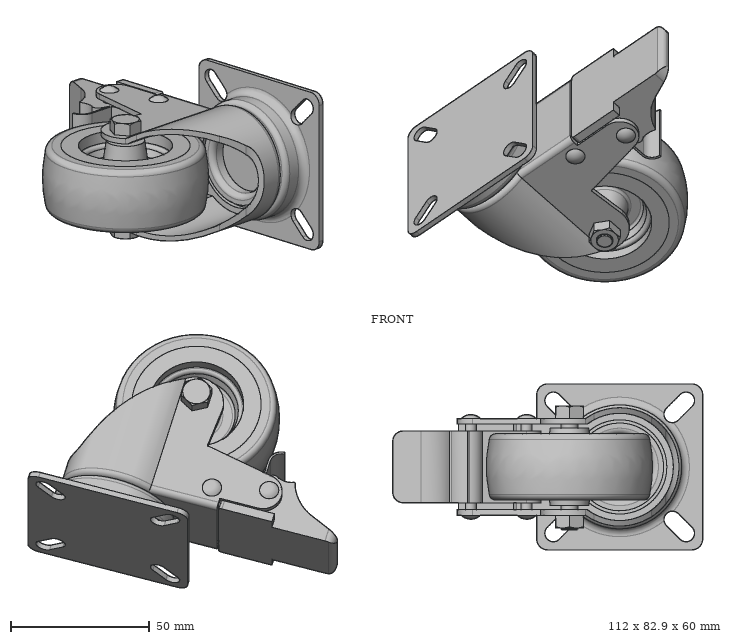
import cadquery as cq
import math


SHEET = 2.0

PLATE_SIZE = 60.0
PLATE_CORNER_R = 4.0
SLOT_WIDTH = 6.0
SLOT_INNER = 19.0
SLOT_OUTER = 24.0
RACE_R = 22.4
RACE_BOTTOM = -11.4
RACE_FLARE = 2.8
RACE_ROUND = 2.0
NECK_R = 18.4
HUB_R = 31.7 / 2
HUB_BORE_R = 11.9
HUB_BORE_DEPTH = 5.6
HUB_BORE_ROUND = 2.1

FORK_TOP = -12.0
FORK_ROUND = 2.2
FORK_R = 21.4
FORK_HALF_WIDTH = 17.5
FORK_INNER_R = FORK_R - SHEET
FORK_INNER_HALF = FORK_HALF_WIDTH - SHEET
FORK_FRONT = -37.5
FORK_HOLE_R = 34.0 / 2
ARM_TOP = -15.9
ARM_NOSE_R = 7.0
ARM_NOSE_X = -51.7
ARM_SLOPE = math.radians(12)
ARM_CORNER_X = -27.3
ARM_END_R = 10.2
ARM_END_X = -18.4
ARM_END_Y = -50.7

AXLE_X = -18.1
AXLE_Y = -52.9
WHEEL_R = 30.0
WHEEL_HALF_WIDTH = 12.0
TREAD_EDGE_R = 29.0
TREAD_EDGE_Z = 10.0
TREAD_FACE_R = 26.7
CORE_R = 46.7 / 2
RECESS_R = 34.0 / 2
RECESS_WALL = 4.3
LEDGE_R = 15.1
LEDGE_ROUND = 1.5
TAPER_R = 14.0
FLOOR_Z = 2.5
FLOOR_ROUND = 1.0
HUB_TIP_R = 7.0
HUB_BASE_R = 8.5
HUB_TIP_Z = 14.0

AXLE_R = 6.0 / 2
HEX_FLATS = 10.0
HEX_HEIGHT = 4.6
HEX_CHAMFER_ANGLE = math.radians(30)
BOLT_STUB = 0.7
BOLT_CHAMFER = 0.3

PEDAL_HALF_WIDTH = 13.0
PEDAL_END = -82.0
PEDAL_TOP_END = -38.2
PEDAL_TIP_BOTTOM = -15.2
PEDAL_TIP_ROUND = 2.5
PEDAL_CORNER_R = 3.8
PEDAL_NOSE_R = 5.2
TAB_START = -58.2
TAB_BOTTOM = -15.3
TAB_CORNER_R = 1.2
RIVETS = [(-53.8, -24.0), (-33.6, -19.3)]
RIVET_R = 4.0 / 2
RIVET_HEAD_R = 3.5
RIVET_HEAD_HEIGHT = 1.5
SPRING_THICKNESS = 0.8
SPRING_X = -49.5
SPRING_ROOT = -27.4
SPRING_BEND_Y = -37.5
SPRING_BEND_R = 4.9


def slab(z_low, z_high):
    """Workplane in XY for shapes extruded along Z from z_low, with the length to extrude."""
    return cq.Workplane("XY").workplane(offset=z_low), z_high - z_low


def round_bar(x, y, radius, half_length):
    plane, length = slab(-half_length, half_length)
    return plane.center(x, y).circle(radius).extrude(length)


def below(y):
    """XZ workplane at height y; positive extrusions run toward +Y's opposite, downward."""
    return cq.Workplane("XZ", origin=(0, y, 0))


def make_plate():
    plate = below(0).rect(PLATE_SIZE, PLATE_SIZE).extrude(SHEET)
    plate = plate.edges("|Y").fillet(PLATE_CORNER_R)

    hub_bottom = FORK_TOP - SHEET
    race_profile = (
        cq.Workplane("XY")
        .moveTo(0, -SHEET / 2)
        .lineTo(RACE_R + RACE_FLARE, -SHEET / 2)
        .lineTo(RACE_R + RACE_FLARE, -SHEET)
        .radiusArc((RACE_R, -SHEET - RACE_FLARE), -RACE_FLARE)
        .lineTo(RACE_R, RACE_BOTTOM + RACE_ROUND)
        .radiusArc((RACE_R - RACE_ROUND, RACE_BOTTOM), RACE_ROUND)
        .lineTo(NECK_R, RACE_BOTTOM)
        .lineTo(NECK_R, FORK_TOP)
        .lineTo(HUB_R, FORK_TOP)
        .lineTo(HUB_R, hub_bottom)
        .lineTo(HUB_BORE_R + HUB_BORE_ROUND, hub_bottom)
        .radiusArc((HUB_BORE_R, hub_bottom + HUB_BORE_ROUND), HUB_BORE_ROUND)
        .lineTo(HUB_BORE_R, hub_bottom + HUB_BORE_DEPTH)
        .lineTo(0, hub_bottom + HUB_BORE_DEPTH)
        .close()
    )
    plate = plate.union(race_profile.revolve(360, (0, 0), (0, 1)))

    slot_middle = (SLOT_INNER + SLOT_OUTER) / 2
    slot_length = (SLOT_OUTER - SLOT_INNER) * math.sqrt(2) + SLOT_WIDTH
    for side_x in (1, -1):
        for side_z in (1, -1):
            slot = (
                below(0)
                .center(side_x * slot_middle, side_z * slot_middle)
                .slot2D(slot_length, SLOT_WIDTH, 45 * side_x * side_z)
                .extrude(-RACE_BOTTOM)
            )
            plate = plate.cut(slot)
    return plate


def fork_plan(radius, half_width, top):
    """Half-round back and two straight sides, filled, from height `top` down past the axle."""
    join_x = -math.sqrt(radius**2 - half_width**2)
    front_x = 2 * ARM_NOSE_X
    return (
        below(top)
        .moveTo(front_x, -half_width)
        .lineTo(join_x, -half_width)
        .threePointArc((radius, 0), (join_x, half_width))
        .lineTo(front_x, half_width)
        .close()
        .extrude(WHEEL_R * 2)
    )


def fork_side():
    """Side outline of the arms and the back, extruded across the whole fork."""
    nose_y = ARM_TOP - ARM_NOSE_R
    nose_low = (
        ARM_NOSE_X - ARM_NOSE_R * math.sin(ARM_SLOPE),
        nose_y - ARM_NOSE_R * math.cos(ARM_SLOPE),
    )
    corner_y = nose_low[1] - (ARM_CORNER_X - nose_low[0]) * math.tan(ARM_SLOPE)
    plane, width = slab(-FORK_R, FORK_R)
    return (
        plane.moveTo(FORK_FRONT, FORK_TOP)
        .lineTo(FORK_FRONT, ARM_TOP)
        .lineTo(ARM_NOSE_X, ARM_TOP)
        .threePointArc((ARM_NOSE_X - ARM_NOSE_R, nose_y), nose_low)
        .lineTo(ARM_CORNER_X, corner_y)
        .lineTo(ARM_END_X - ARM_END_R, ARM_END_Y)
        .threePointArc((ARM_END_X, ARM_END_Y - ARM_END_R), (-12.3, -59.0))
        .lineTo(-9.3, -56.5)
        .threePointArc((2.0, -46.4), (11.5, -34.7))
        .lineTo(16.6, -26.2)
        .threePointArc((18.5, -23.4), (FORK_R, -21.7))
        .lineTo(FORK_R, FORK_TOP)
        .close()
        .extrude(width)
    )


def make_fork():
    fork = fork_plan(FORK_R, FORK_HALF_WIDTH, FORK_TOP)
    fork = fork.faces(">Y").edges("not <X").fillet(FORK_ROUND)
    fork = fork.cut(fork_plan(FORK_INNER_R, FORK_INNER_HALF, FORK_TOP - SHEET))
    fork = fork.intersect(fork_side())
    fork = fork.cut(below(FORK_TOP).circle(FORK_HOLE_R).extrude(SHEET))
    fork = fork.cut(round_bar(AXLE_X, AXLE_Y, AXLE_R, FORK_R))
    for x, y in RIVETS:
        fork = fork.cut(round_bar(x, y, RIVET_R, FORK_R))
    return fork


def turned_on_axle(profile):
    """Revolve an XZ half-profile (radius, z) about Z and place it on the axle."""
    return profile.revolve(360, (0, 0), (0, 1)).translate((AXLE_X, AXLE_Y, 0))


def make_tyre():
    profile = (
        cq.Workplane("XZ")
        .moveTo(CORE_R, -WHEEL_HALF_WIDTH)
        .lineTo(TREAD_FACE_R, -WHEEL_HALF_WIDTH)
        .radiusArc((TREAD_EDGE_R, -TREAD_EDGE_Z), -(TREAD_EDGE_R - TREAD_FACE_R))
        .threePointArc((WHEEL_R, 0), (TREAD_EDGE_R, TREAD_EDGE_Z))
        .radiusArc((TREAD_FACE_R, WHEEL_HALF_WIDTH), -(TREAD_EDGE_R - TREAD_FACE_R))
        .lineTo(CORE_R, WHEEL_HALF_WIDTH)
        .close()
    )
    return turned_on_axle(profile)


def make_core():
    ledge_z = WHEEL_HALF_WIDTH - RECESS_WALL
    foot_z = FLOOR_Z + FLOOR_ROUND
    upper = (
        cq.Workplane("XZ")
        .moveTo(AXLE_R, 0)
        .lineTo(AXLE_R, HUB_TIP_Z)
        .lineTo(HUB_TIP_R, HUB_TIP_Z)
        .lineTo(HUB_BASE_R, foot_z)
        .radiusArc((HUB_BASE_R + FLOOR_ROUND, FLOOR_Z), -FLOOR_ROUND)
        .lineTo(TAPER_R - FLOOR_ROUND, FLOOR_Z)
        .radiusArc((TAPER_R, foot_z), -FLOOR_ROUND)
        .lineTo(LEDGE_R, ledge_z - LEDGE_ROUND)
        .radiusArc((LEDGE_R + LEDGE_ROUND, ledge_z), LEDGE_ROUND)
        .lineTo(RECESS_R, ledge_z)
        .lineTo(RECESS_R, WHEEL_HALF_WIDTH)
        .lineTo(CORE_R, WHEEL_HALF_WIDTH)
        .lineTo(CORE_R, 0)
        .close()
    )
    half = turned_on_axle(upper)
    return half.union(half.mirror("XY"))


def hexagon(z_inner, side):
    """Hexagon from z_inner outward (side = +1 or -1), its outer corners bevelled."""
    corner_r = HEX_FLATS / math.sqrt(3)
    bevel = (corner_r - HEX_FLATS / 2) * math.tan(HEX_CHAMFER_ANGLE)
    prism = cq.Workplane("XY").polygon(6, 2 * corner_r).extrude(HEX_HEIGHT)
    prism = prism.rotate((0, 0, 0), (0, 0, 1), 30)
    envelope = (
        cq.Workplane("XZ")
        .lineTo(corner_r, 0)
        .lineTo(corner_r, HEX_HEIGHT - bevel)
        .lineTo(HEX_FLATS / 2, HEX_HEIGHT)
        .lineTo(0, HEX_HEIGHT)
        .close()
        .revolve(360, (0, 0), (0, 1))
    )
    hexagon_solid = prism.intersect(envelope)
    if side < 0:
        hexagon_solid = hexagon_solid.mirror("XY")
    return hexagon_solid.translate((AXLE_X, AXLE_Y, side * z_inner))


def make_axle():
    bolt_end = FORK_HALF_WIDTH + HEX_HEIGHT + BOLT_STUB
    plane, length = slab(-bolt_end, FORK_HALF_WIDTH)
    shank = plane.center(AXLE_X, AXLE_Y).circle(AXLE_R).extrude(length)
    shank = shank.faces("<Z").chamfer(BOLT_CHAMFER)
    return shank.union(hexagon(FORK_HALF_WIDTH, 1)).union(hexagon(FORK_HALF_WIDTH, -1))


def make_pedal():
    nose_x, nose_y = RIVETS[1]
    plane, width = slab(-PEDAL_HALF_WIDTH, PEDAL_HALF_WIDTH)
    pedal = (
        plane.moveTo(PEDAL_TOP_END, FORK_TOP)
        .lineTo(PEDAL_END + PEDAL_TIP_ROUND, FORK_TOP)
        .radiusArc((PEDAL_END, FORK_TOP - PEDAL_TIP_ROUND), -PEDAL_TIP_ROUND)
        .lineTo(PEDAL_END, PEDAL_TIP_BOTTOM)
        .lineTo(-71.7, -20.0)
        .threePointArc((-65.0, -24.9), (-61.5, -31.0))
        .threePointArc((-61.3, -31.6), (-60.8, -31.7))
        .threePointArc((-57.9, -31.1), (-55.0, -31.8))
        .threePointArc((-52.5, -32.3), (-51.2, -30.5))
        .lineTo(SPRING_X - SPRING_THICKNESS, SPRING_ROOT)
        .lineTo(nose_x, nose_y - PEDAL_NOSE_R)
        .threePointArc((nose_x + PEDAL_NOSE_R, nose_y), (nose_x, nose_y + PEDAL_NOSE_R))
        .lineTo(PEDAL_TOP_END, nose_y + PEDAL_NOSE_R)
        .close()
        .extrude(width)
    )
    plan = below(0).rect(-2 * PEDAL_END, 2 * PEDAL_HALF_WIDTH).extrude(-AXLE_Y)
    return pedal.intersect(plan.edges("|Y").fillet(PEDAL_CORNER_R))


def make_tabs():
    """Bar across the pedal whose ends stand out over the fork arms."""
    plane, width = slab(-FORK_HALF_WIDTH, FORK_HALF_WIDTH)
    bar = (
        plane.moveTo(TAB_START, FORK_TOP)
        .lineTo(PEDAL_TOP_END, FORK_TOP)
        .lineTo(PEDAL_TOP_END, TAB_BOTTOM)
        .lineTo(TAB_START, TAB_BOTTOM)
        .close()
        .extrude(width)
    )
    return bar.faces(">X").edges("|Y").fillet(TAB_CORNER_R)


def make_rivet(x, y):
    rivet = round_bar(0, 0, RIVET_R, FORK_HALF_WIDTH)
    dome_top = FORK_HALF_WIDTH + RIVET_HEAD_HEIGHT
    dome_r = (RIVET_HEAD_R**2 + RIVET_HEAD_HEIGHT**2) / (2 * RIVET_HEAD_HEIGHT)
    head = (
        cq.Workplane("XZ")
        .moveTo(0, FORK_HALF_WIDTH)
        .lineTo(RIVET_HEAD_R, FORK_HALF_WIDTH)
        .radiusArc((0, dome_top), -dome_r)
        .close()
        .revolve(360, (0, 0), (0, 1))
    )
    return rivet.union(head).union(head.mirror("XY")).translate((x, y, 0))


def make_spring():
    inner_r = SPRING_BEND_R - SPRING_THICKNESS
    centre_x = SPRING_X - SPRING_BEND_R
    plane, width = slab(-PEDAL_HALF_WIDTH, PEDAL_HALF_WIDTH)
    return (
        plane.moveTo(SPRING_X, SPRING_ROOT + SPRING_THICKNESS)
        .lineTo(SPRING_X, SPRING_BEND_Y)
        .radiusArc((centre_x, SPRING_BEND_Y - SPRING_BEND_R), SPRING_BEND_R)
        .lineTo(centre_x, SPRING_BEND_Y - inner_r)
        .radiusArc((SPRING_X - SPRING_THICKNESS, SPRING_BEND_Y), -inner_r)
        .lineTo(SPRING_X - SPRING_THICKNESS, SPRING_ROOT + SPRING_THICKNESS)
        .close()
        .extrude(width)
    )


def make_brake():
    brake = make_pedal().union(make_tabs()).union(make_spring())
    for x, y in RIVETS:
        brake = brake.union(make_rivet(x, y))
    return brake


plate = make_plate()
fork = make_fork()
tyre = make_tyre()
core = make_core()
axle = make_axle()
brake = make_brake()

result = cq.Compound.makeCompound(
    [plate.val(), fork.val(), tyre.val(), core.val(), axle.val(), brake.val()]
)